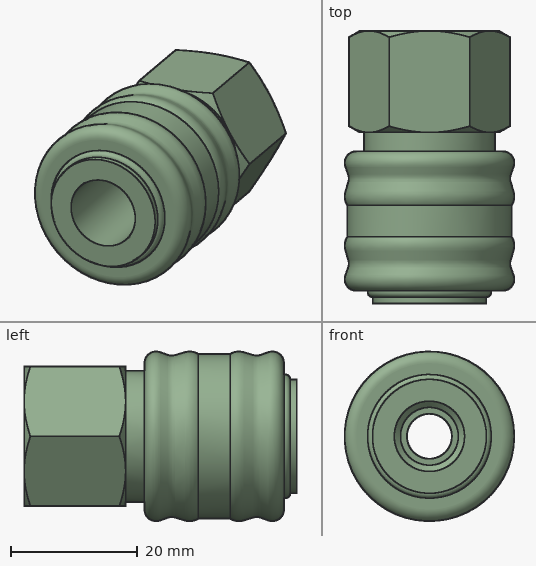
import cadquery as cq
import math


total_length = 43.0
lip_length = 1.05
sleeve_front = 2.0
sleeve_rear = 24.05
hex_front = 27.0

lip_radius = 9.0
collar_radius = 9.75
collar_round = collar_radius - lip_radius
neck_radius = 10.35

hex_sides = 6
hex_across_flats = 22.0
hex_chamfer_angle = 30.0

sleeve_middle = (sleeve_front + sleeve_rear) / 2
sleeve_half_length = (sleeve_rear - sleeve_front) / 2
crest_radius = 26.8 / 2
groove_depth = 0.65
drum_radius = 13.0
drum_half_length = 2.5
end_round = 1.85
inner_round = 2.6
groove_round = 1.85
groove_position = 6.7

socket_radius = 5.55
seat_radius = 4.55
seat_angle = 45.0
passage_radius = 3.53
socket_depth = sleeve_rear


def revolve_about_y(profile):
    """Turn a closed profile, with X as radius, into a solid around the Y axis."""
    return profile.close().revolve(360, (0, 0, 0), (0, 1, 0))


def cylinder(radius, start, end):
    return cq.Workplane("XZ", origin=(0, start, 0)).circle(radius).extrude(start - end)


def flank_angle(crest_round, axial_distance):
    """Slope of the straight flank that touches both a crest arc and the groove arc."""
    round_sum = crest_round + groove_round
    radial_distance = round_sum - groove_depth
    center_distance = math.hypot(axial_distance, radial_distance)
    return math.atan2(axial_distance, radial_distance) - math.acos(round_sum / center_distance)


def make_body():
    lip = cylinder(lip_radius, 0, sleeve_front)
    collar = cylinder(collar_radius, lip_length, sleeve_front).faces("<Y").edges().fillet(collar_round)
    neck = cylinder(neck_radius, sleeve_front, hex_front)
    return lip.union(collar).union(neck)


def make_half_sleeve():
    """Half of the sleeve, from its middle at Y = 0 to its rounded end."""
    outer_crest = sleeve_half_length - end_round
    crest_rise = crest_radius - drum_radius
    inner_crest = drum_half_length + math.sqrt(crest_rise * (2 * inner_round - crest_rise))
    inner_flank = flank_angle(inner_round, groove_position - inner_crest)
    outer_flank = flank_angle(end_round, outer_crest - groove_position)

    def crest_point(crest, rounding, angle):
        radius = crest_radius - rounding * (1 - math.cos(angle))
        return radius, crest + rounding * math.sin(angle)

    def groove_point(angle):
        radius = crest_radius - groove_depth + groove_round * (1 - math.cos(angle))
        return radius, groove_position + groove_round * math.sin(angle)

    profile = (
        cq.Workplane("XY")
        .lineTo(drum_radius, 0)
        .lineTo(drum_radius, drum_half_length)
        .threePointArc((crest_radius, inner_crest), crest_point(inner_crest, inner_round, inner_flank))
        .lineTo(*groove_point(-inner_flank))
        .threePointArc(groove_point(0), groove_point(outer_flank))
        .lineTo(*crest_point(outer_crest, end_round, -outer_flank))
        .threePointArc((crest_radius, outer_crest), (crest_radius - end_round, sleeve_half_length))
        .lineTo(0, sleeve_half_length)
    )
    return revolve_about_y(profile)


def make_sleeve():
    half = make_half_sleeve()
    return half.union(half.mirror("XZ")).translate((0, sleeve_middle, 0))


def make_hexagon():
    corner_radius = hex_across_flats / 2 / math.cos(math.pi / hex_sides)
    face_radius = hex_across_flats / 2
    chamfer_length = (corner_radius - face_radius) * math.tan(math.radians(hex_chamfer_angle))
    prism = (
        cq.Workplane("XZ", origin=(0, hex_front, 0))
        .polygon(hex_sides, 2 * corner_radius)
        .extrude(hex_front - total_length)
    )
    envelope = revolve_about_y(
        cq.Workplane("XY")
        .moveTo(0, hex_front)
        .lineTo(face_radius, hex_front)
        .lineTo(corner_radius, hex_front + chamfer_length)
        .lineTo(corner_radius, total_length - chamfer_length)
        .lineTo(face_radius, total_length)
        .lineTo(0, total_length)
    )
    return prism.intersect(envelope)


def make_bore():
    seat_length = (socket_radius - seat_radius) / math.tan(math.radians(seat_angle))
    return revolve_about_y(
        cq.Workplane("XY")
        .lineTo(socket_radius, 0)
        .lineTo(socket_radius, socket_depth - seat_length)
        .lineTo(seat_radius, socket_depth)
        .lineTo(passage_radius, socket_depth)
        .lineTo(passage_radius, total_length)
        .lineTo(0, total_length)
    )


result = make_body().union(make_sleeve()).union(make_hexagon()).cut(make_bore())